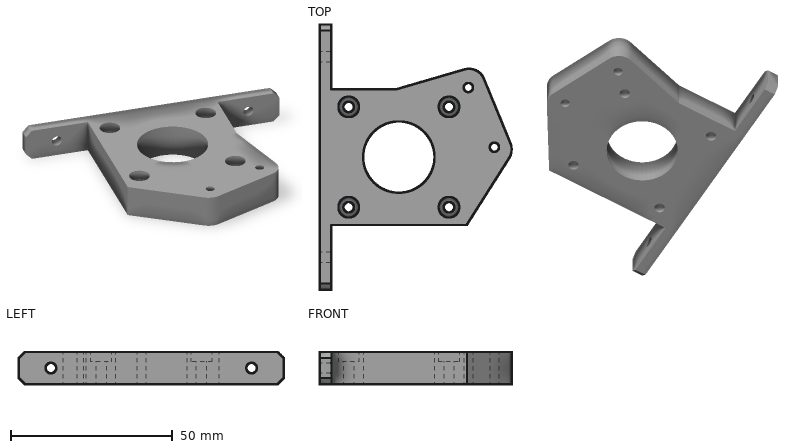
import cadquery as cq

thickness = 10.0
flange_length = 82.0
flange_thickness = 3.6
flange_outer_x = -24.4
flange_inner_x = flange_outer_x + flange_thickness
flange_chamfer = 2.0
flange_hole_spacing = 62.0
flange_hole_diameter = 3.2

plate_half_width = 21.0
shoulder_x = -0.7
lower_corner_x = 21.0
upper_corner = (24.6, 28.4)
right_corner = (35.5, 1.9)
corner_radius = 5.0

bore_diameter = 22.0
screw_spacing = 31.0
screw_diameter = 3.2
counterbore_diameter = 6.4
counterbore_depth = 3.0

pin_diameter = 2.8
upper_pin = (21.5, 21.5)
lower_pin = (29.5, 3.0)


def make_plate():
    """Plate with a pointed side whose two outer corners are rounded."""
    return (
        cq.Workplane("XY")
        .polyline(
            [
                (flange_inner_x, plate_half_width),
                (shoulder_x, plate_half_width),
                upper_corner,
                right_corner,
                (lower_corner_x, -plate_half_width),
                (flange_inner_x, -plate_half_width),
            ]
        )
        .close()
        .extrude(thickness)
        .edges(cq.selectors.NearestToPointSelector((*upper_corner, thickness / 2)))
        .fillet(corner_radius)
        .edges(cq.selectors.NearestToPointSelector((*right_corner, thickness / 2)))
        .fillet(corner_radius)
    )


def make_flange():
    """Mounting flange with chamfered ends."""
    return (
        cq.Workplane("XY")
        .box(flange_thickness, flange_length, thickness, centered=(False, True, False))
        .translate((flange_outer_x, 0, 0))
        .edges("|X")
        .chamfer(flange_chamfer)
    )


def cut_plate_holes(body):
    """Bore, counterbored screw holes and pin holes."""
    top = cq.Workplane("XY", origin=(0, 0, thickness))
    screws = top.rect(screw_spacing, screw_spacing, forConstruction=True).vertices()
    bore = top.circle(bore_diameter / 2).extrude(-thickness)
    screw_holes = screws.circle(screw_diameter / 2).extrude(-thickness)
    counterbores = screws.circle(counterbore_diameter / 2).extrude(-counterbore_depth)
    pins = top.pushPoints([upper_pin, lower_pin]).circle(pin_diameter / 2).extrude(-thickness)
    return body.cut(bore).cut(screw_holes).cut(counterbores).cut(pins)


def cut_flange_holes(body):
    """Two holes through the flange at mid height."""
    half_spacing = flange_hole_spacing / 2
    holes = (
        cq.Workplane("YZ", origin=(flange_outer_x, 0, thickness / 2))
        .pushPoints([(-half_spacing, 0), (half_spacing, 0)])
        .circle(flange_hole_diameter / 2)
        .extrude(flange_thickness)
    )
    return body.cut(holes)


bracket = make_plate().union(make_flange())
result = cut_flange_holes(cut_plate_holes(bracket))